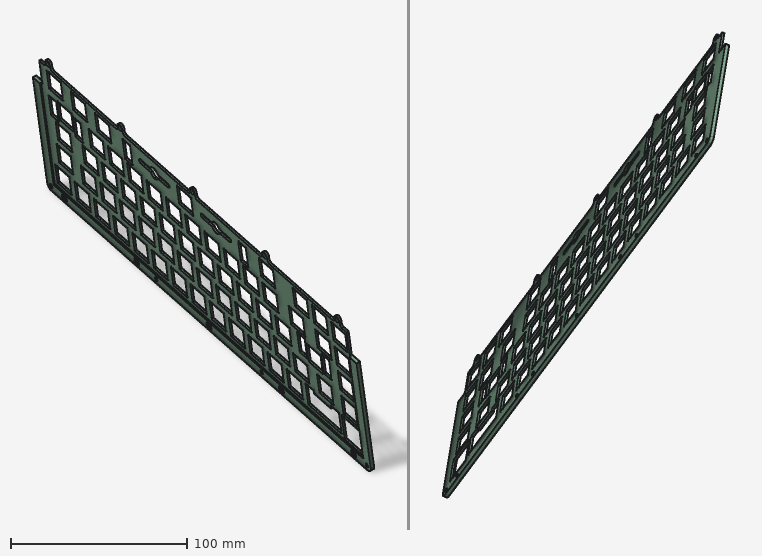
import cadquery as cq

TILT = 7.0
FRAME_WIDTH = 319.75
PLATE_THICKNESS = 1.5
FRAME_THICKNESS = 2.5
FRAME_HEIGHT = 85.2
FRAME_CORNER_RADIUS = 4.0
PLATE_HEIGHT = 103.1

PITCH = 19.05
LAST_COLUMN = 15
KEY_SIZE = 14.0
BOTTOM_ROW_Y = 17.0
GRID_WIDTH = (LAST_COLUMN + 1) * PITCH

CLEARANCE = 0.5
PLATE_WIDTH = GRID_WIDTH - 2 * CLEARANCE
FRAME_INNER_WIDTH = GRID_WIDTH + 2 * CLEARANCE
FRAME_BOTTOM_BAND = BOTTOM_ROW_Y - PITCH / 2 - CLEARANCE

ROW_COLUMNS = [
    list(range(13)),
    [0.25] + [column + 0.5 for column in range(1, 13)] + [13.75, 15],
    [0.375] + [column + 0.75 for column in range(1, 12)] + [13.375, 15],
    [0.625] + [column + 0.25 for column in range(2, 12)] + [12.625, 14, 15],
    [0.25, 1.5, 2.75, 7, 11.25, 13, 14, 15],
]

STABILIZER_WIDTH = 7.5
STABILIZER_HEIGHT = 15.25
STABILIZER_SHIFT = 2.0
WIDE_KEY_REACH = 12.0
SPACEBAR_REACH = 3 * PITCH
STABILIZED_KEYS = [
    (2, 13.375, WIDE_KEY_REACH, 1),
    (3, 0.625, WIDE_KEY_REACH, -1),
    (4, 7, SPACEBAR_REACH, -1),
]

SPACEBAR_ROW = 4
SPACEBAR_COLUMN = 7
SLOT_REACH = 30.4
SLOT_LENGTH = 30.0
SLOT_WIDTH = 3.0
SLOT_EYE_DIAMETER = 8.0

DOUBLE_KEY_COLUMN = 13.5
DOUBLE_KEY_WIDTH = PITCH + KEY_SIZE
DOUBLE_KEY_NOTCH_WIDTH = 17.0
DOUBLE_KEY_END_RISE = 2.25
KNOB_OPENING = 18.75

SCREW_COLUMNS = [0, 3.75, 7.5, 11.25, 15]
SCREW_PAD_DIAMETER = 5.0
SCREW_CONE_DIAMETER = 4.0
SCREW_HOLE_DIAMETER = 2.0
SCREW_CONE_DEPTH = 1.0
BOTTOM_SCREW_Y = 3.5
TAB_TOP_Y = 109.2
TAB_SCREW_Y = TAB_TOP_Y - SCREW_PAD_DIAMETER / 2
TAB_FILLET = 2.0

PIN_HOLE_DIAMETER = 2.5
INNER_PIN_X = 52.0
OUTER_PIN_X = 156.0
PIN_HOLE_Y = 3.7


def column_x(column):
    """X of a column given in key pitches."""
    return (column - LAST_COLUMN / 2) * PITCH


def row_y(row):
    """Height of a key row along the plate."""
    return BOTTOM_ROW_Y + row * PITCH


def box(width, height, depth, x, y):
    """Block standing on the back face, centred on (x, y)."""
    return cq.Workplane("XY").center(x, y).rect(width, height).extrude(depth)


def through_box(width, height, x, y):
    """Cutter that passes through the whole part."""
    return box(width, height, FRAME_THICKNESS, x, y)


def cylinders(diameter, points, depth, base=0.0):
    """Equal cylinders standing at height base."""
    return cq.Workplane("XY", origin=(0, 0, base)).pushPoints(points).circle(diameter / 2).extrude(depth)


def make_plate():
    """Thin plate with its thicker U-shaped border."""
    frame = box(FRAME_WIDTH, FRAME_HEIGHT, FRAME_THICKNESS, 0, FRAME_HEIGHT / 2)
    frame = frame.edges("|Z and <Y").fillet(FRAME_CORNER_RADIUS)
    recess_y = FRAME_BOTTOM_BAND + PLATE_HEIGHT / 2
    recess = box(FRAME_INNER_WIDTH, PLATE_HEIGHT, FRAME_THICKNESS, 0, recess_y)
    frame = frame.cut(recess.translate((0, 0, PLATE_THICKNESS)))
    upper_height = PLATE_HEIGHT - FRAME_BOTTOM_BAND
    upper = box(PLATE_WIDTH, upper_height, PLATE_THICKNESS, 0, PLATE_HEIGHT - upper_height / 2)
    return frame.union(upper)


def make_tab(x):
    """Rounded screw tab on the top edge, flared at its root."""
    radius = SCREW_PAD_DIAMETER / 2
    root = radius + TAB_FILLET
    shoulder_y = PLATE_HEIGHT + TAB_FILLET
    sketch = (
        cq.Workplane("XY")
        .moveTo(x - root, PLATE_HEIGHT)
        .radiusArc((x - radius, shoulder_y), -TAB_FILLET)
        .lineTo(x - radius, TAB_SCREW_Y)
        .threePointArc((x, TAB_TOP_Y), (x + radius, TAB_SCREW_Y))
        .lineTo(x + radius, shoulder_y)
        .radiusArc((x + root, PLATE_HEIGHT), -TAB_FILLET)
        .close()
    )
    return sketch.extrude(PLATE_THICKNESS)


def cut_keys(plate):
    """Square switch openings of all rows."""
    centres = [(column_x(c), row_y(row)) for row, columns in enumerate(ROW_COLUMNS) for c in columns]
    cutter = cq.Workplane("XY").pushPoints(centres).rect(KEY_SIZE, KEY_SIZE).extrude(FRAME_THICKNESS)
    return plate.cut(cutter)


def cut_stabilizers(plate):
    """Pairs of upright openings beside the wide keys."""
    for row, column, reach, direction in STABILIZED_KEYS:
        y = row_y(row) + direction * STABILIZER_SHIFT
        for side in (-1, 1):
            x = column_x(column) + side * reach
            plate = plate.cut(through_box(STABILIZER_WIDTH, STABILIZER_HEIGHT, x, y))
    return plate


def cut_spacebar_slots(plate):
    """Two long slots, each with a round eye at its middle."""
    points = [(column_x(SPACEBAR_COLUMN) + side * SLOT_REACH, row_y(SPACEBAR_ROW)) for side in (-1, 1)]
    slots = cq.Workplane("XY").pushPoints(points).slot2D(SLOT_LENGTH, SLOT_WIDTH).extrude(FRAME_THICKNESS)
    eyes = cylinders(SLOT_EYE_DIAMETER, points, FRAME_THICKNESS)
    return plate.cut(slots).cut(eyes)


def cut_large_openings(plate):
    """Double-width key opening with raised ends, and the square knob opening."""
    x = column_x(DOUBLE_KEY_COLUMN)
    y = row_y(0)
    plate = plate.cut(through_box(DOUBLE_KEY_WIDTH, KEY_SIZE, x, y))
    inner = DOUBLE_KEY_NOTCH_WIDTH / 2
    end_width = DOUBLE_KEY_WIDTH / 2 - inner
    end_height = KEY_SIZE + DOUBLE_KEY_END_RISE
    for side in (-1, 1):
        end_x = x + side * (inner + end_width / 2)
        plate = plate.cut(through_box(end_width, end_height, end_x, y + DOUBLE_KEY_END_RISE / 2))
    return plate.cut(through_box(KNOB_OPENING, KNOB_OPENING, column_x(LAST_COLUMN), y))


def cut_screw_holes(plate):
    """Countersunk screw holes in the tabs and the bottom band, and plain locating holes."""
    xs = [column_x(column) for column in SCREW_COLUMNS]
    bottom = [(x, BOTTOM_SCREW_Y) for x in xs]
    points = bottom + [(x, TAB_SCREW_Y) for x in xs]
    plate = plate.cut(cylinders(SCREW_PAD_DIAMETER, bottom, FRAME_THICKNESS, PLATE_THICKNESS))
    plate = plate.cut(cylinders(SCREW_HOLE_DIAMETER, points, FRAME_THICKNESS))
    cone = cq.Solid.makeCone(
        SCREW_HOLE_DIAMETER / 2, SCREW_CONE_DIAMETER / 2, SCREW_CONE_DEPTH,
        pnt=(0, 0, PLATE_THICKNESS - SCREW_CONE_DEPTH),
    )
    for x, y in points:
        plate = plate.cut(cq.Workplane(obj=cone.translate((x, y, 0))))
    pins = [(side * x, PIN_HOLE_Y) for side in (-1, 1) for x in (INNER_PIN_X, OUTER_PIN_X)]
    return plate.cut(cylinders(PIN_HOLE_DIAMETER, pins, FRAME_THICKNESS))


part = make_plate()
for screw_column in SCREW_COLUMNS:
    part = part.union(make_tab(column_x(screw_column)))
part = cut_keys(part)
part = cut_stabilizers(part)
part = cut_spacebar_slots(part)
part = cut_large_openings(part)
part = cut_screw_holes(part)

result = part.rotate((0, 0, 0), (1, 0, 0), 90 + TILT)